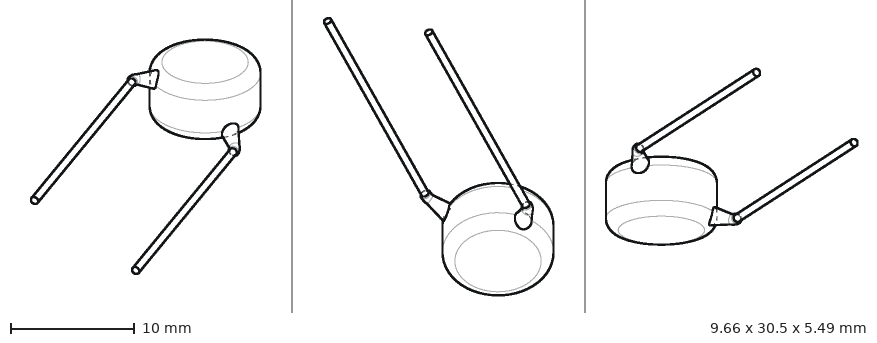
import cadquery as cq

disc_diameter = 9.0
disc_thickness = 5.03
disc_rounding = 1.0

overall_length = 30.5
lead_diameter = 0.65
lead_x = 4.407
lead_z = 2.32
lead_end_y = disc_diameter / 2 - overall_length

sleeve_diameter = 0.85
collar_start_y = -4.88
collar_length = 0.15
bend_tangent_length = 0.3
cone_length = 1.98
cone_root_radius = 0.8
cone_side_run = 2.7
cone_forward_run = 3.8
cone_drop = 1.5

sleeve_radius = sleeve_diameter / 2
collar_rounding = sleeve_radius - lead_diameter / 2
forward = cq.Vector(0, 1, 0)
side_directions = (-1, 1)


def make_disc():
    disc = cq.Workplane("XY").cylinder(disc_thickness, disc_diameter / 2)
    return disc.edges("%CIRCLE").fillet(disc_rounding)


def lead_point(side, y):
    """Point on a lead's axis at the given y."""
    return cq.Vector(side * lead_x, y, -side * lead_z)


def make_sleeve(side):
    """Collar, bend and cone of one sleeve, joined into one solid."""
    collar_start = lead_point(side, collar_start_y)
    collar = cq.Solid.makeCylinder(sleeve_radius, collar_length, collar_start, forward)
    rim = cq.Workplane(collar).faces("<Y").edges().vals()
    collar = collar.fillet(collar_rounding, rim)

    cone_direction = cq.Vector(-side * cone_side_run, cone_forward_run, side * cone_drop).normalized()
    bend_start = lead_point(side, collar_start_y + collar_length)
    corner = bend_start + forward * bend_tangent_length
    bend_end = corner + cone_direction * bend_tangent_length
    bend_path = cq.Edge.makeTangentArc(bend_start, forward, bend_end)
    section = cq.Wire.makeCircle(sleeve_radius, bend_start, forward)
    bend = cq.Solid.sweep(section, [], cq.Wire.assembleEdges([bend_path]))

    cone = cq.Solid.makeCone(sleeve_radius, cone_root_radius, cone_length, bend_end, cone_direction)
    return collar.fuse(bend, cone)


def make_housing():
    housing = make_disc()
    for side in side_directions:
        housing = housing.union(cq.Workplane(make_sleeve(side)))
    return housing


def make_lead(side):
    """Wire that meets the end face of its sleeve."""
    length = collar_start_y - lead_end_y
    return cq.Solid.makeCylinder(lead_diameter / 2, length, lead_point(side, lead_end_y), forward)


housing = make_housing()
leads = [make_lead(side) for side in side_directions]

result = cq.Compound.makeCompound([housing.solids().val(), *leads])